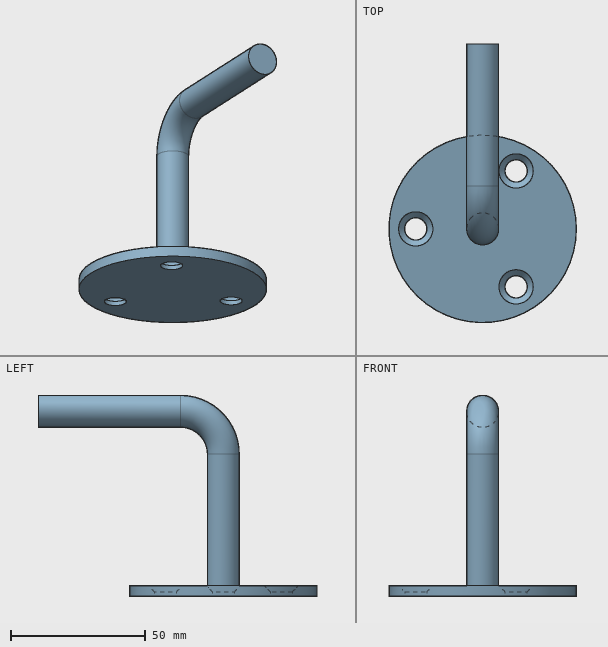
import cadquery as cq

total_length = 104.0
total_height = 75.0

plate_diameter = 70.0
plate_thickness = 4.0

rod_diameter = 12.0
bend_radius = 16.0

hole_count = 3
hole_circle_radius = 25.0
first_hole_angle = 180.0
hole_diameter = 8.2
countersink_diameter = 12.8
countersink_angle = 90.0

arm_height = total_height - rod_diameter / 2
arm_end = total_length - plate_diameter / 2


def make_plate():
    """Disc with countersunk holes evenly spaced on a circle."""
    return (
        cq.Workplane("XY")
        .circle(plate_diameter / 2)
        .extrude(plate_thickness)
        .faces(">Z")
        .workplane(origin=(0, 0, plate_thickness))
        .polarArray(hole_circle_radius, first_hole_angle, 360, hole_count)
        .cskHole(hole_diameter, countersink_diameter, countersink_angle)
    )


def make_rod():
    """Rod rising from the plate, then bending to a horizontal arm along +Y."""
    centreline = (
        cq.Workplane("YZ")
        .moveTo(0, plate_thickness)
        .lineTo(0, arm_height - bend_radius)
        .tangentArcPoint((bend_radius, arm_height), relative=False)
        .lineTo(arm_end, arm_height)
    )
    return (
        cq.Workplane("XY", origin=(0, 0, plate_thickness))
        .circle(rod_diameter / 2)
        .sweep(centreline)
    )


result = make_plate().union(make_rod())